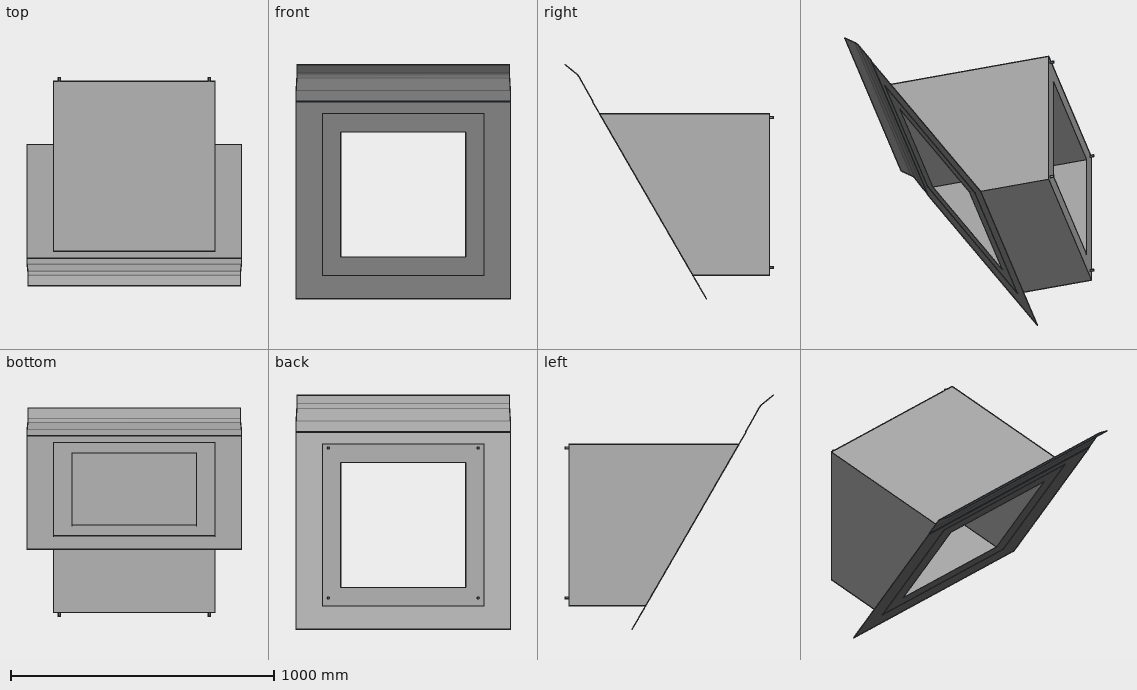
import cadquery as cq
import math

overall_depth = 792.5
overall_height = 890.0

panel_width = 816.0
lip_width = 809.0
sheet = 1.0
panel_angle = math.radians(60)
foot_y = 537.0
joggle_z = 749.0
joggle_rise = 3.0
joggle_offset = 2.0
crease_z = 792.0
upper_angle = math.radians(61)
bend_start_z = 840.0
bend_chord_angle = math.radians(49.5)
bend_rise = 18.0

duct_size = 614.0
duct_wall = 70.0
duct_bottom = 89.0
pin_length = 14.0
duct_back = overall_depth - pin_length
duct_center_z = duct_bottom + duct_size / 2
frame_recess = sheet / 2

pin_diameter = 8.0
pin_spacing = 570.0
pin_lift = 8.0

normal_y = math.sin(panel_angle)
normal_z = math.cos(panel_angle)


def slope_y(z):
    """Y of the main front plane at height z."""
    return foot_y - z / math.tan(panel_angle)


def sheet_panel():
    """Bent sheet: main slope, small rearward joggle, steeper strip, bend and lip."""
    joggle_top = joggle_z + joggle_rise
    joggle_shift = joggle_offset / normal_y
    crease_y = slope_y(crease_z) + joggle_shift
    bend_y = crease_y - (bend_start_z - crease_z) / math.tan(upper_angle)
    bend_end_y = bend_y - bend_rise / math.tan(bend_chord_angle)
    foot = (foot_y, 0)
    joggle_low = (slope_y(joggle_z), joggle_z)
    joggle_high = (slope_y(joggle_top) + joggle_shift, joggle_top)
    crease = (crease_y, crease_z)
    bend_start = (bend_y, bend_start_z)
    bend_end = (bend_end_y, bend_start_z + bend_rise)
    tip = (0, overall_height - sheet * normal_z)

    turn = upper_angle - bend_chord_angle
    chord = bend_rise / math.sin(bend_chord_angle)
    sagitta = chord / 2 * math.tan(turn / 2)
    bend_middle = (
        (bend_start[0] + bend_end[0]) / 2 + sagitta * math.sin(bend_chord_angle),
        (bend_start[1] + bend_end[1]) / 2 + sagitta * math.cos(bend_chord_angle),
    )

    def rear(point):
        return (point[0] + sheet * normal_y, point[1] + sheet * normal_z)

    return (
        cq.Workplane("YZ")
        .moveTo(*foot)
        .lineTo(*joggle_low)
        .lineTo(*joggle_high)
        .lineTo(*crease)
        .lineTo(*bend_start)
        .threePointArc(bend_middle, bend_end)
        .lineTo(*tip)
        .lineTo(*rear(tip))
        .lineTo(*rear(bend_end))
        .threePointArc(rear(bend_middle), rear(bend_start))
        .lineTo(*rear(crease))
        .lineTo(*rear(joggle_high))
        .lineTo(*rear(joggle_low))
        .lineTo(*rear(foot))
        .close()
        .extrude(panel_width / 2, both=True)
    )


def side_outline():
    """Front silhouette: the sides taper in between the crease and the bend."""
    wide = panel_width / 2
    narrow = lip_width / 2
    return (
        cq.Workplane("XZ")
        .polyline([
            (-wide, 0), (wide, 0), (wide, crease_z), (narrow, bend_start_z),
            (narrow, overall_height), (-narrow, overall_height),
            (-narrow, bend_start_z), (-wide, crease_z),
        ])
        .close()
        .extrude(-overall_depth)
    )


def square_prism(size):
    """Square bar along Y, centred on the duct axis."""
    return (
        cq.Workplane("XZ")
        .center(0, duct_center_z)
        .rect(size, size)
        .extrude(-duct_back)
    )


def duct():
    """Square block whose front end is cut parallel to the panel."""
    recess_y = frame_recess / normal_y
    behind_panel = (
        cq.Workplane("YZ")
        .polyline([
            (foot_y + recess_y, 0),
            (duct_back, 0),
            (duct_back, overall_height),
            (slope_y(overall_height) + recess_y, overall_height),
        ])
        .close()
        .extrude(duct_size, both=True)
    )
    return square_prism(duct_size).intersect(behind_panel)


def pins():
    """Four round pins in a square pattern on the back face."""
    return (
        cq.Workplane("XZ", origin=(0, duct_back, duct_center_z + pin_lift))
        .rarray(pin_spacing, pin_spacing, 2, 2)
        .circle(pin_diameter / 2)
        .extrude(-pin_length)
    )


panel = sheet_panel().intersect(side_outline()).cut(square_prism(duct_size))
tunnel = square_prism(duct_size - 2 * duct_wall)
result = panel.union(duct()).cut(tunnel).union(pins())